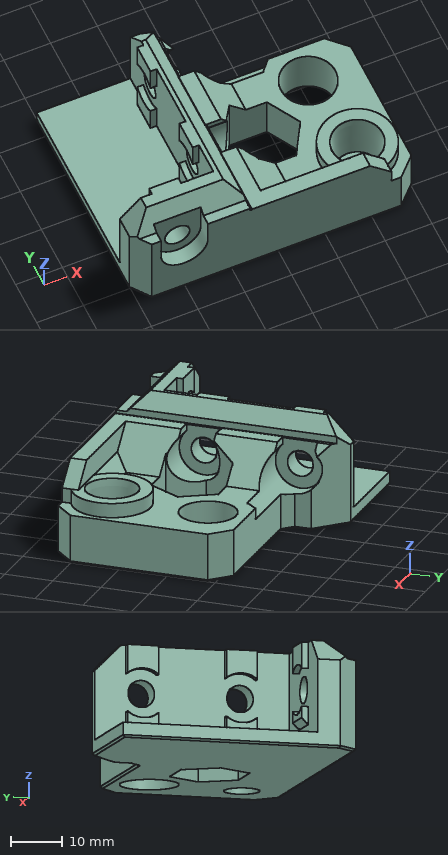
import cadquery as cq
import math

length = 60.3
depth = 48.0
height = 21.9
bottom_chamfer = 0.4

block_depth = 36.55
block_chamfer = 4.0
corner_cut_x = 3.0
corner_cut_y = 4.0
neck_x = 27.9
neck_chamfer = 5.95
neck_blend = 2.1

tray_floor = 2.9
front_wall_face = 8.55
side_wall_face = 20.0
side_wall_back = 24.05
tall_front_y = 6.0
ledge_z = 18.0
left_bevel = 4.5
right_bevel = 3.1
rear_bevel = 5.25

block_top = 10.0
rim_top = 17.55
rim_groove_width = 0.35
rim_groove_depth = 0.2
rim_front_thickness = 3.45
rim_end_x = 54.3
rim_end_z = 12.95
gusset_foot_x = 35.35
front_gusset = 2.9

screw_diameter = 5.3
near_y, far_y = 18.6, 38.6
side_screw_z = 12.4
front_screw_x = 10.0
front_screw_z = 12.9
front_pocket_diameter = 10.0
front_pocket_depth = 3.45

channel_start_x = 24.7
channel_diameter = 10.3
channel_slot_width = 7.25
near_channel_end_x = 36.2
far_channel_end_x = 42.15
channel_end_run_x = 3.3
channel_end_run_y = 4.0

pad_width = 6.3
pad_thickness = 1.3
pad_clearance_diameter = 9.8
front_pad_bottom = 5.55

hex_flats = 13.9
hex_x, hex_y = 35.8, 20.2
rod_hole_diameter = 11.6
rod_x, rod_y = 49.3, 28.6
boss_x, boss_y = 51.15, 9.3
boss_diameter = 16.0
boss_top = rim_end_z
bearing_mouth_diameter = 10.75
bearing_mouth_depth = 1.5
bearing_diameter = 10.3
bearing_floor_diameter = 9.5
bearing_floor = 3.0
boss_hole_diameter = 7.0


def box(x0, x1, y0, y1, z0, z1):
    """Axis-aligned block between two corners."""
    return cq.Workplane("XY").box(x1 - x0, y1 - y0, z1 - z0, centered=False).translate((x0, y0, z0))


def prism_along_y(points, y0, y1):
    """Extrude an XZ outline from y0 to y1."""
    return cq.Workplane("XZ", origin=(0, y0, 0)).polyline(points).close().extrude(y0 - y1)


def prism_along_x(points, x0, x1):
    """Extrude a YZ outline from x0 to x1."""
    return cq.Workplane("YZ", origin=(x0, 0, 0)).polyline(points).close().extrude(x1 - x0)


def cylinder_z(x, y, diameter, z0, z1):
    """Vertical cylinder between two heights."""
    return cq.Workplane("XY", origin=(x, y, z0)).circle(diameter / 2).extrude(z1 - z0)


def cylinder_x(y, z, diameter, x0, x1):
    """Cylinder along X."""
    return cq.Workplane("YZ", origin=(x0, y, z)).circle(diameter / 2).extrude(x1 - x0)


def cylinder_y(x, z, diameter, y0, y1):
    """Cylinder along Y."""
    return cq.Workplane("XZ", origin=(x, y0, z)).circle(diameter / 2).extrude(y0 - y1)


def plan_envelope():
    """Plan outline at full height, with the bottom edge chamfered."""
    outline = [
        (corner_cut_x, 0),
        (length - block_chamfer, 0),
        (length, block_chamfer),
        (length, block_depth - block_chamfer),
        (length - block_chamfer, block_depth),
        (neck_x + neck_blend, block_depth),
        (neck_x, block_depth + neck_blend),
        (neck_x, depth - neck_chamfer),
        (neck_x - neck_chamfer, depth),
        (0, depth),
        (0, corner_cut_y),
    ]
    prism = cq.Workplane("XY").polyline(outline).close().extrude(height)
    return prism.faces("<Z").chamfer(bottom_chamfer)


def tall_walls():
    """L-shaped tray wall with bevelled top edges."""
    walls = box(0, side_wall_back, 0, front_wall_face, 0, height)
    walls = walls.union(box(side_wall_face, side_wall_back, 0, depth, 0, height))
    across_x = prism_along_y([
        (0, 0),
        (side_wall_back, 0),
        (side_wall_back, height - right_bevel),
        (side_wall_back - right_bevel, height),
        (left_bevel, height),
        (0, height - left_bevel),
    ], 0, depth)
    across_y = prism_along_x([
        (0, 0),
        (depth, 0),
        (depth, height - rear_bevel),
        (depth - rear_bevel, height),
        (tall_front_y, height),
        (tall_front_y - (height - ledge_z), ledge_z),
        (0, ledge_z),
    ], 0, side_wall_back)
    return walls.intersect(across_x).intersect(across_y)


def low_block():
    """Block with the gusseted rim along its left and front sides."""
    groove_end = side_wall_back + rim_groove_width
    groove_floor = rim_top - rim_groove_depth
    rim_rise = rim_top - block_top
    side_rim = prism_along_y([
        (side_wall_back, 0),
        (length, 0),
        (length, block_top),
        (gusset_foot_x, block_top),
        (gusset_foot_x - rim_rise, rim_top),
        (groove_end, rim_top),
        (groove_end, groove_floor),
        (side_wall_back, groove_floor),
    ], 0, depth)
    front_rim = prism_along_y([
        (groove_end, 0),
        (rim_end_x, 0),
        (rim_end_x, rim_end_z),
        (rim_end_x - (rim_top - rim_end_z), rim_top),
        (groove_end, rim_top),
    ], 0, rim_front_thickness)
    gusset = prism_along_x([
        (rim_front_thickness, block_top),
        (rim_front_thickness + front_gusset, block_top),
        (rim_front_thickness, block_top + front_gusset),
    ], groove_end, boss_x)
    boss = cylinder_z(boss_x, boss_y, boss_diameter, block_top, boss_top)
    rear_slope = prism_along_y([
        (side_wall_back, rim_top),
        (neck_x, rim_top),
        (neck_x, rim_top - (neck_x - channel_start_x)),
        (channel_start_x + rim_groove_depth, groove_floor),
        (side_wall_back, groove_floor),
    ], far_y, depth)
    side_rim = side_rim.cut(rear_slope)
    return side_rim.union(front_rim).union(gusset).union(boss)


def side_pad(y):
    """Full-height pad on the side wall, open around its screw."""
    pad = box(side_wall_face - pad_thickness, side_wall_face, y - pad_width / 2, y + pad_width / 2,
              tray_floor, height)
    clearance = cylinder_x(y, side_screw_z, pad_clearance_diameter,
                           side_wall_face - pad_thickness, side_wall_face)
    return pad.cut(clearance)


def front_pad():
    """Pad on the front wall with a sloped underside, open around its screw."""
    pad = prism_along_x([
        (front_wall_face, front_pad_bottom),
        (front_wall_face + pad_thickness, front_pad_bottom + pad_thickness),
        (front_wall_face + pad_thickness, height),
        (front_wall_face, height),
    ], front_screw_x - pad_width / 2, front_screw_x + pad_width / 2)
    clearance = cylinder_y(front_screw_x, front_screw_z, pad_clearance_diameter,
                           front_wall_face, front_wall_face + pad_thickness)
    return pad.cut(clearance)


def head_channel(y, end_x):
    """Round screw head channel along X with a narrower slot opening upwards."""
    half_slot = channel_slot_width / 2
    bore = cylinder_x(y, side_screw_z, channel_diameter, channel_start_x, end_x)
    slot = box(channel_start_x, end_x, y - half_slot, y + half_slot, side_screw_z, rim_top)
    groove_side = box(side_wall_back, channel_start_x, y - half_slot, y + half_slot,
                      rim_top - rim_groove_depth, rim_top)
    return bore.union(slot).union(groove_side)


def far_channel():
    """Channel that leaves through the rear face, closed by an oblique vertical end face."""
    channel_radius = channel_diameter / 2
    drop = side_screw_z - block_top
    end_y = far_y - math.sqrt(channel_radius ** 2 - drop ** 2)
    slope = channel_end_run_x / channel_end_run_y
    front_y = far_y - channel_radius
    front_x = far_channel_end_x + slope * (front_y - end_y)
    back_x = far_channel_end_x + slope * (depth - end_y)
    reach = (
        cq.Workplane("XY")
        .polyline([(side_wall_back, front_y), (front_x, front_y), (back_x, depth), (side_wall_back, depth)])
        .close().extrude(height)
    )
    return head_channel(far_y, back_x).intersect(reach)


def front_screw_cut():
    """Screw hole through the front wall with an upward-open head pocket."""
    hole = cylinder_y(front_screw_x, front_screw_z, screw_diameter, 0, front_wall_face)
    seat = cylinder_y(front_screw_x, front_screw_z, front_pocket_diameter, 0, front_pocket_depth)
    radius = front_pocket_diameter / 2
    slot = box(front_screw_x - radius, front_screw_x + radius, 0, front_pocket_depth, front_screw_z, height)
    return hole.union(seat).union(slot)


def bearing_bore():
    """Through hole and bearing seat of the boss, tapering in two steps."""
    mouth_bottom = boss_top - bearing_mouth_depth
    half_profile = [
        (0, 0),
        (boss_hole_diameter / 2, 0),
        (boss_hole_diameter / 2, bearing_floor),
        (bearing_floor_diameter / 2, bearing_floor),
        (bearing_diameter / 2, mouth_bottom),
        (bearing_mouth_diameter / 2, boss_top),
        (0, boss_top),
    ]
    bore = cq.Workplane("XZ").polyline(half_profile).close().revolve(360, (0, 0, 0), (0, 1, 0))
    return bore.translate((boss_x, boss_y, 0))


hex_corners = hex_flats / math.cos(math.pi / 6)

body = box(0, side_wall_face, 0, depth, 0, tray_floor)
body = body.union(low_block())
body = body.cut(head_channel(near_y, near_channel_end_x))
body = body.cut(far_channel())
body = body.union(tall_walls()).intersect(plan_envelope())

body = body.union(front_pad())
for screw_y in (near_y, far_y):
    body = body.union(side_pad(screw_y))
    body = body.cut(cylinder_x(screw_y, side_screw_z, screw_diameter, side_wall_face, channel_start_x))

body = body.cut(front_screw_cut())
body = body.cut(cq.Workplane("XY").center(hex_x, hex_y).polygon(6, hex_corners).extrude(height))
body = body.cut(cylinder_z(rod_x, rod_y, rod_hole_diameter, 0, height))
result = body.cut(bearing_bore())